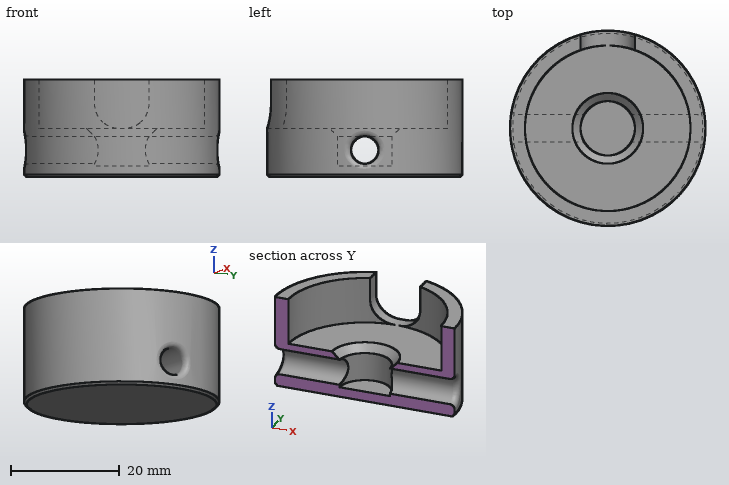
import cadquery as cq

outer_diameter = 36.0
height = outer_diameter / 2
bottom_chamfer = 0.5
pocket_diameter = 30.5
floor_height = height / 2

bore_diameter = 10.0
bore_countersink = 1.5
bore_bottom = 2.0

cross_diameter = bore_diameter / 2
cross_height = cross_diameter
mouth_radius = 1.0

slot_width = bore_diameter
slot_corner_radius = 4.5


def make_cup():
    body = cq.Workplane("XY").circle(outer_diameter / 2).extrude(height)
    body = body.faces("<Z").chamfer(bottom_chamfer)
    pocket = (
        cq.Workplane("XY")
        .workplane(offset=floor_height)
        .circle(pocket_diameter / 2)
        .extrude(height - floor_height)
    )
    return body.cut(pocket)


def make_cross_hole():
    return (
        cq.Workplane("YZ")
        .center(0, cross_height)
        .circle(cross_diameter / 2)
        .extrude(outer_diameter / 2, both=True)
    )


def make_bore():
    bore_radius = bore_diameter / 2
    sink_radius = bore_radius + bore_countersink
    return (
        cq.Workplane("XZ")
        .moveTo(0, bore_bottom)
        .lineTo(bore_radius, bore_bottom)
        .lineTo(bore_radius, floor_height - bore_countersink)
        .lineTo(sink_radius, floor_height)
        .lineTo(0, floor_height)
        .close()
        .revolve(360, (0, 0), (0, 1))
    )


def make_slot():
    slot_height = height - floor_height
    return (
        cq.Workplane("XY")
        .workplane(offset=floor_height)
        .center(0, outer_diameter / 4)
        .rect(slot_width, outer_diameter / 2)
        .extrude(slot_height)
        .edges("|Y and <Z")
        .fillet(slot_corner_radius)
    )


def round_mouths(body):
    search_half = cross_diameter / 2 + mouth_radius
    for side in (-1, 1):
        wall = side * outer_diameter / 2
        corner_a = (wall - mouth_radius, -search_half, cross_height - search_half)
        corner_b = (wall + mouth_radius, search_half, cross_height + search_half)
        mouth = cq.selectors.BoxSelector(corner_a, corner_b)
        body = body.edges(mouth).fillet(mouth_radius)
    return body


cup = round_mouths(make_cup().cut(make_cross_hole()))
result = cup.cut(make_bore()).cut(make_slot())